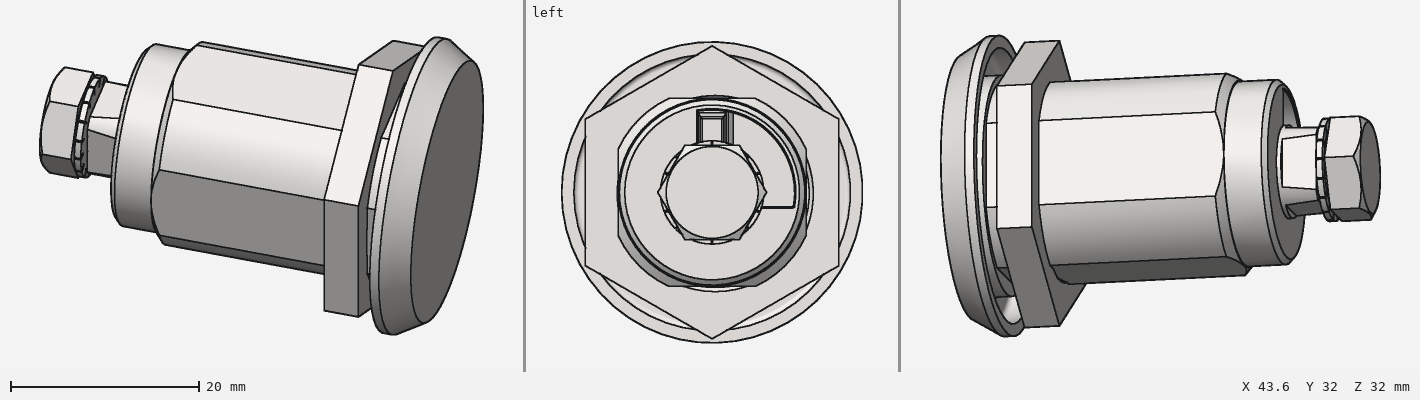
import cadquery as cq
import math


collar_start = 9.1
collar_radius = 9.85
collar_chamfer = 0.55
barrel_start = 13.75
barrel_radius = 11.0
barrel_flat_distance = 10.0
barrel_cone_length = 0.9
flange_start = 39.6
flange_rim_width = 1.0
flange_end = 43.6
flange_radius = 16.0
flange_face_radius = 14.15

groove_outer_radius = 14.7
groove_inner_radius = 11.77
groove_depth = 2.2
groove_fillet = 0.55

pocket_radius = 8.75
pocket_margin = 1.53
pocket_depth = 3.92
pocket_corner_fillet = 0.25
pocket_mouth_chamfer = 0.15
lug_slot_depth = 6.1
lug_slot_mouth_side = -2.22
lug_slot_floor_side = -1.7

spindle_start = 5.0
spindle_radius = 4.95
square_end = 8.65
square_tip_distance = 3.95
square_root_distance = 4.25
lug_length = 1.3
lug_tip_half_width = 1.2
lug_root_half_width = 1.5
lug_tip_radius = 8.0
lug_root_radius = 8.45
lug_tip_chamfer = 0.17

head_height = 3.7
head_flat_distance = 5.0
head_chamfer_radius = 4.9
head_chamfer_length = 0.55
washer_face_radius = 4.5
shank_radius = 3.0
shank_end = 13.95

washer_start = 4.0
washer_end = 4.7
washer_radius = 5.5
washer_slit_count = 16
washer_slit_width = 0.17
washer_slit_start = 4.58

nut_start = 33.85
nut_end = 37.63
nut_flat_distance = 13.47
nut_bore_radius = 10.0
nut_bore_chamfer = 0.45
nut_bore_y = -0.325
nut_bore_z = -0.12

spindle_end = collar_start + lug_slot_depth
lug_start = spindle_end - lug_length


def cross_section(x):
    """Workplane across the axis at x; its local axes are Y and Z."""
    return cq.Workplane("YZ", origin=(x, 0, 0))


def disc(start, end, radius):
    return cross_section(start).circle(radius).extrude(end - start)


def turned(profile):
    """Revolve (x, radius) points about the X axis."""
    return cq.Workplane("XY").polyline(profile).close().revolve(360, (0, 0, 0), (1, 0, 0))


def hexagon(start, end, flat_distance, corner_angle):
    """Hexagonal prism with one corner turned by corner_angle from +Y toward +Z."""
    corner_diameter = 2 * flat_distance / math.cos(math.pi / 6)
    prism = cross_section(start).polygon(6, corner_diameter).extrude(end - start)
    return prism.rotate((0, 0, 0), (1, 0, 0), corner_angle)


def make_barrel():
    cone_end = barrel_start + barrel_cone_length
    round_barrel = turned([
        (barrel_start, 0),
        (barrel_start, barrel_flat_distance),
        (cone_end, barrel_radius),
        (flange_start, barrel_radius),
        (flange_start, 0),
    ])
    flats = cross_section(barrel_start).rect(2 * barrel_flat_distance, 2 * barrel_flat_distance)
    return round_barrel.intersect(flats.extrude(flange_start - barrel_start))


def make_groove():
    ring = cross_section(flange_start).circle(groove_outer_radius).circle(groove_inner_radius)
    return ring.extrude(groove_depth).faces(">X").edges().fillet(groove_fillet)


def make_flange():
    flange = turned([
        (flange_start, 0),
        (flange_start, flange_radius),
        (flange_start + flange_rim_width, flange_radius),
        (flange_end, flange_face_radius),
        (flange_end, 0),
    ])
    return flange.cut(make_groove())


def quarter_sector(start, length, margin, radius):
    """Round-cornered sector on the -Y, +Z side, widened by the margin past both axis planes."""
    quadrant = (
        cross_section(start)
        .moveTo(margin, -margin)
        .rect(-2 * radius, 2 * radius, centered=False)
        .extrude(length)
    )
    sector = quadrant.intersect(disc(start, start + length, radius))
    outer_corner = cq.selectors.NearestToPointSelector((start + length / 2, -radius, -margin))
    return sector.edges("|X").edges(outer_corner).fillet(pocket_corner_fillet)


def make_pocket():
    """Quarter sector with a chamfered mouth."""
    pocket = quarter_sector(collar_start, pocket_depth, pocket_margin, pocket_radius)
    mouth = quarter_sector(
        collar_start - pocket_mouth_chamfer,
        2 * pocket_mouth_chamfer,
        pocket_margin + pocket_mouth_chamfer,
        pocket_radius + pocket_mouth_chamfer,
    )
    return pocket.union(mouth.faces(">X").edges().chamfer(pocket_mouth_chamfer))


def make_lug_slot():
    """Radial slot below the pocket floor, with one sloping side wall."""
    slot = (
        cq.Workplane("XY")
        .polyline([
            (collar_start, pocket_margin),
            (collar_start, lug_slot_mouth_side),
            (collar_start + pocket_depth, lug_slot_mouth_side),
            (spindle_end, lug_slot_floor_side),
            (spindle_end, pocket_margin),
        ])
        .close()
        .extrude(pocket_radius)
    )
    return slot.intersect(disc(collar_start, spindle_end, pocket_radius))


def make_housing():
    collar = disc(collar_start, barrel_start, collar_radius).faces("<X").edges().chamfer(collar_chamfer)
    spindle_bore = disc(collar_start, spindle_end, spindle_radius)
    housing = collar.union(make_barrel()).union(make_flange())
    return housing.cut(spindle_bore).cut(make_pocket()).cut(make_lug_slot())


def make_square_end():
    length = square_end - spindle_start
    return (
        cross_section(spindle_start)
        .rect(2 * square_tip_distance, 2 * square_tip_distance)
        .workplane(offset=length)
        .rect(2 * square_root_distance, 2 * square_root_distance)
        .loft(ruled=True)
        .intersect(disc(spindle_start, square_end, spindle_radius))
    )


def make_lug():
    """Lug that starts at the axis and narrows toward its tip."""
    return (
        cross_section(lug_start)
        .center(0, lug_tip_radius / 2)
        .rect(2 * lug_tip_half_width, lug_tip_radius)
        .workplane(offset=lug_length)
        .center(0, (lug_root_radius - lug_tip_radius) / 2)
        .rect(2 * lug_root_half_width, lug_root_radius)
        .loft(ruled=True)
        .faces("<X")
        .edges()
        .chamfer(lug_tip_chamfer)
    )


def make_spindle():
    spindle = make_square_end().union(disc(square_end, spindle_end, spindle_radius)).union(make_lug())
    return spindle.cut(disc(spindle_start, shank_end, shank_radius))


def make_bolt():
    corner_radius = head_flat_distance / math.cos(math.pi / 6)
    chamfer_blank = turned([
        (0, 0),
        (0, head_chamfer_radius),
        (head_chamfer_length, corner_radius),
        (head_height, corner_radius),
        (head_height, 0),
    ])
    head = hexagon(0, head_height, head_flat_distance, 0).intersect(chamfer_blank)
    washer_face = disc(head_height, washer_start, washer_face_radius)
    shank = disc(washer_start, shank_end, shank_radius)
    return head.union(washer_face).union(shank)


def make_washer():
    thickness = washer_end - washer_start
    washer = cross_section(washer_start).circle(washer_radius).circle(shank_radius).extrude(thickness)
    slits = (
        cross_section(washer_start)
        .polarArray(washer_radius, 0, 360, washer_slit_count)
        .rect(2 * (washer_radius - washer_slit_start), washer_slit_width)
        .extrude(thickness)
    )
    return washer.cut(slits)


def make_nut(housing):
    """Hex nut whose bore takes the shape of the housing thread where they touch."""
    bore = (
        cross_section(nut_start)
        .center(nut_bore_y, nut_bore_z)
        .circle(nut_bore_radius)
        .extrude(nut_end - nut_start)
    )
    block = hexagon(nut_start, nut_end, nut_flat_distance, 90).cut(bore)
    bore_mouth = cq.selectors.RadiusNthSelector(0)
    return block.faces("<X").edges(bore_mouth).chamfer(nut_bore_chamfer).cut(housing)


housing = make_housing()
nut = make_nut(housing)
spindle = make_spindle()
washer = make_washer()
bolt = make_bolt()

result = cq.Compound.makeCompound([
    housing.val(),
    nut.val(),
    spindle.val(),
    washer.val(),
    bolt.val(),
])